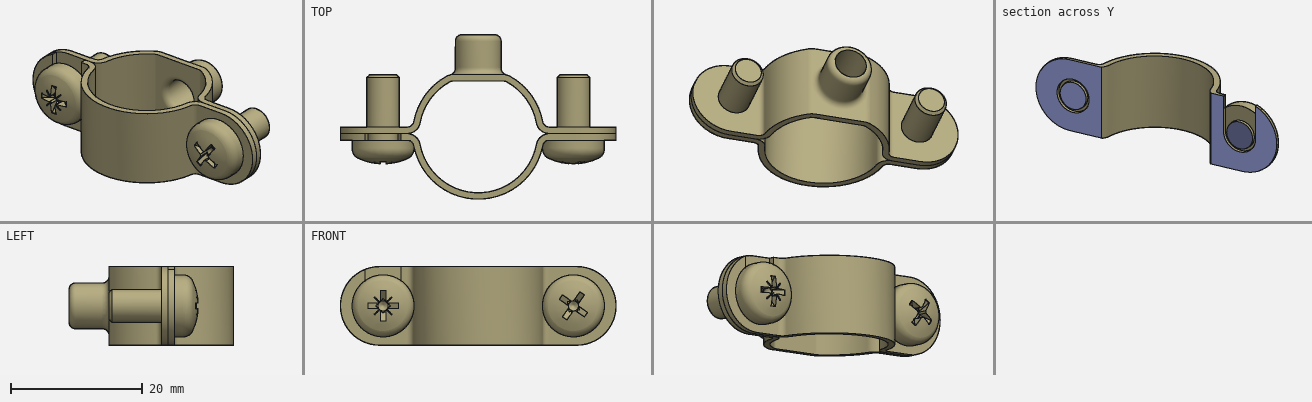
import cadquery as cq
import math

SHEET = 1.0
STRIP_HEIGHT = 12.0
TOTAL_LENGTH = 42.0
RING_OUTER_RADIUS = 10.0
RING_INNER_RADIUS = RING_OUTER_RADIUS - SHEET

EAR_BEND_RADIUS = SHEET
EAR_BEND_Y = SHEET + EAR_BEND_RADIUS
EAR_BEND_X = math.sqrt((RING_OUTER_RADIUS + EAR_BEND_RADIUS) ** 2 - EAR_BEND_Y ** 2)
EAR_BEND_ANGLE = math.degrees(math.atan2(EAR_BEND_Y, EAR_BEND_X))

SEAT_OUTER_Y = 9.0
SEAT_INNER_Y = SEAT_OUTER_Y - SHEET
SEAT_BEND_INNER_RADIUS = SHEET
SEAT_BEND_OUTER_RADIUS = SEAT_BEND_INNER_RADIUS + SHEET
SEAT_BEND_Y = SEAT_INNER_Y - SEAT_BEND_INNER_RADIUS
SEAT_BEND_X = math.sqrt((RING_INNER_RADIUS - SEAT_BEND_INNER_RADIUS) ** 2 - SEAT_BEND_Y ** 2)
SEAT_BEND_ANGLE = math.degrees(math.atan2(SEAT_BEND_Y, SEAT_BEND_X))

BOSS_DIAMETER = 7.0
BOSS_BORE = 4.9
BOSS_END_Y = 15.08
BOSS_ROUND = SHEET

SCREW_X = 14.5
SHANK_DIAMETER = 5.0
NECK_DIAMETER = 4.58
SHANK_TIP_DIAMETER = 4.1
SHANK_CHAMFER = (SHANK_DIAMETER - SHANK_TIP_DIAMETER) / 2
SHANK_END_Y = 9.0
CLEARANCE_WIDTH = 5.5
HEAD_DIAMETER = 9.45
HEAD_HEIGHT = 3.6
HEAD_RIM = 1.3
DOME_DIAMETER = 7.73
DOME_HEIGHT = 0.9
HEAD_SEAT_Y = -SHEET
HEAD_TOP_Y = HEAD_SEAT_Y - HEAD_HEIGHT

CROSS_LENGTH = 4.65
CROSS_FLOOR_LENGTH = 1.85
CROSS_WIDTH = 0.85
CROSS_END_DEPTH = 0.45
CROSS_DEPTH = 1.7
CROSS_CORE_WIDTH = 1.55
CROSS_POINT_DEPTH = 2.2
TICK_LENGTH = 3.7
TICK_WIDTH = 0.13
TICK_DEPTH = 0.38
LEFT_CROSS_TURN = 0
RIGHT_CROSS_TURN = 55


def polar(center, radius, angle):
    """Point at a radius and an angle in degrees around a center."""
    turn = math.radians(angle)
    return (center[0] + radius * math.cos(turn), center[1] + radius * math.sin(turn))


def extrude_strip(half_outline):
    """Extrude the +X half of a strip outline over the strip height and mirror it to -X."""
    half = half_outline.close().extrude(STRIP_HEIGHT / 2, both=True)
    return half.union(half.mirror("YZ")).clean()


def trace_ear(outline):
    """Continue an outline from the ring's outer face around the ear to the ring's inner face."""
    bend = (EAR_BEND_X, EAR_BEND_Y)
    middle = 225 + EAR_BEND_ANGLE / 2
    inner_radius = EAR_BEND_RADIUS
    outer_radius = EAR_BEND_RADIUS + SHEET
    ear_end = TOTAL_LENGTH / 2
    return (
        outline.threePointArc(polar(bend, inner_radius, middle), (EAR_BEND_X, SHEET))
        .lineTo(ear_end, SHEET)
        .lineTo(ear_end, 0)
        .lineTo(EAR_BEND_X, 0)
        .threePointArc(
            polar(bend, outer_radius, middle),
            polar((0, 0), RING_INNER_RADIUS, EAR_BEND_ANGLE),
        )
    )


def make_round_strip():
    """Half ring with two ears, bulging toward +Y."""
    middle = (90 + EAR_BEND_ANGLE) / 2
    center = (0, 0)
    outline = cq.Workplane("XY").moveTo(0, RING_OUTER_RADIUS)
    outline = outline.threePointArc(
        polar(center, RING_OUTER_RADIUS, middle),
        polar(center, RING_OUTER_RADIUS, EAR_BEND_ANGLE),
    )
    outline = trace_ear(outline).threePointArc(
        polar(center, RING_INNER_RADIUS, middle), (0, RING_INNER_RADIUS)
    )
    return extrude_strip(outline)


def make_seat_strip():
    """Half ring with two ears and a flat seat, bulging toward +Y."""
    center = (0, 0)
    bend = (SEAT_BEND_X, SEAT_BEND_Y)
    ring_middle = (SEAT_BEND_ANGLE + EAR_BEND_ANGLE) / 2
    bend_middle = (90 + SEAT_BEND_ANGLE) / 2
    outline = cq.Workplane("XY").moveTo(0, SEAT_OUTER_Y).lineTo(SEAT_BEND_X, SEAT_OUTER_Y)
    outline = outline.threePointArc(
        polar(bend, SEAT_BEND_OUTER_RADIUS, bend_middle),
        polar(bend, SEAT_BEND_OUTER_RADIUS, SEAT_BEND_ANGLE),
    )
    outline = outline.threePointArc(
        polar(center, RING_OUTER_RADIUS, ring_middle),
        polar(center, RING_OUTER_RADIUS, EAR_BEND_ANGLE),
    )
    outline = trace_ear(outline)
    outline = outline.threePointArc(
        polar(center, RING_INNER_RADIUS, ring_middle),
        polar(center, RING_INNER_RADIUS, SEAT_BEND_ANGLE),
    )
    outline = outline.threePointArc(
        polar(bend, SEAT_BEND_INNER_RADIUS, bend_middle), (SEAT_BEND_X, SEAT_INNER_Y)
    )
    outline = outline.lineTo(0, SEAT_INNER_Y)
    return extrude_strip(outline)


def round_ear_ends(strip):
    """Trim both ears to full half-round ends."""
    envelope = (
        cq.Workplane("XZ")
        .slot2D(TOTAL_LENGTH, STRIP_HEIGHT)
        .extrude(2 * RING_OUTER_RADIUS, both=True)
    )
    return strip.intersect(envelope)


def cylinder_y(diameter, start_y, end_y, x=0):
    """Cylinder along Y between two Y positions."""
    return (
        cq.Workplane("XZ", origin=(x, start_y, 0))
        .circle(diameter / 2)
        .extrude(start_y - end_y)
    )


def round_seat_circle(body, diameter, y):
    """Round the circular edge around the boss axis that lies in a face of the flat seat."""
    reach = diameter / 2 + SHEET / 4
    margin = SHEET / 4
    zone = cq.selectors.BoxSelector((-reach, y - margin, -reach), (reach, y + margin, reach))
    return body.edges("%CIRCLE").edges(zone).fillet(BOSS_ROUND)


def add_boss(strip):
    """Add the hollow boss with its rounded tip, rounded root and rounded bore mouth."""
    boss = cylinder_y(BOSS_DIAMETER, SEAT_OUTER_Y, BOSS_END_Y)
    boss = boss.faces(">Y").edges().fillet(BOSS_ROUND)
    body = round_seat_circle(strip.union(boss), BOSS_DIAMETER, SEAT_OUTER_Y)
    body = body.cut(cylinder_y(BOSS_BORE, 0, BOSS_END_Y))
    return round_seat_circle(body, BOSS_BORE, SEAT_INNER_Y)


def make_screw_blank():
    """Screw without its recess, with its axis along Y through the origin."""
    rim_radius = HEAD_DIAMETER / 2
    dome_radius = DOME_DIAMETER / 2
    rim_y = HEAD_SEAT_Y - HEAD_RIM
    dome_y = HEAD_TOP_Y + DOME_HEIGHT
    sphere_radius = (dome_radius ** 2 + DOME_HEIGHT ** 2) / (2 * DOME_HEIGHT)
    sphere_center = (0, HEAD_TOP_Y + sphere_radius)
    half_dome_angle = math.degrees(math.asin(dome_radius / sphere_radius)) / 2
    return (
        cq.Workplane("XY")
        .moveTo(0, SHANK_END_Y)
        .lineTo(SHANK_TIP_DIAMETER / 2, SHANK_END_Y)
        .lineTo(SHANK_DIAMETER / 2, SHANK_END_Y - SHANK_CHAMFER)
        .lineTo(SHANK_DIAMETER / 2, 0)
        .lineTo(NECK_DIAMETER / 2, 0)
        .lineTo(NECK_DIAMETER / 2, HEAD_SEAT_Y)
        .lineTo(rim_radius, HEAD_SEAT_Y)
        .lineTo(rim_radius, rim_y)
        .tangentArcPoint((dome_radius, dome_y), relative=False)
        .threePointArc(polar(sphere_center, sphere_radius, half_dome_angle - 90), (0, HEAD_TOP_Y))
        .close()
        .revolve(360, (0, 0, 0), (0, 1, 0))
    )


def make_cross():
    """Cross recess: two tapered wings and a square core with a conical bottom, open toward -Y."""
    wing = (
        cq.Workplane("XY")
        .polyline([
            (-CROSS_LENGTH / 2, HEAD_TOP_Y),
            (CROSS_LENGTH / 2, HEAD_TOP_Y),
            (CROSS_LENGTH / 2, HEAD_TOP_Y + CROSS_END_DEPTH),
            (CROSS_FLOOR_LENGTH / 2, HEAD_TOP_Y + CROSS_DEPTH),
            (-CROSS_FLOOR_LENGTH / 2, HEAD_TOP_Y + CROSS_DEPTH),
            (-CROSS_LENGTH / 2, HEAD_TOP_Y + CROSS_END_DEPTH),
        ])
        .close()
        .extrude(CROSS_WIDTH / 2, both=True)
    )
    floor_y = HEAD_TOP_Y + CROSS_DEPTH
    core = cq.Workplane("XY").box(CROSS_CORE_WIDTH, 2 * CROSS_DEPTH, CROSS_CORE_WIDTH)
    core = turn_about_y(core.translate((0, HEAD_TOP_Y, 0)), 45)
    point = (
        cq.Workplane("XY")
        .polyline([(0, floor_y), (CROSS_CORE_WIDTH / 2, floor_y), (0, HEAD_TOP_Y + CROSS_POINT_DEPTH)])
        .close()
        .revolve(360, (0, 0, 0), (0, 1, 0))
    )
    return wing.union(turn_about_y(wing, 90)).union(core).union(point)


def turn_about_y(body, angle):
    """Turn a body about the Y axis, counterclockwise as seen from -Y."""
    return body.rotate((0, 0, 0), (0, 1, 0), -angle)


def make_ticks():
    """Two thin diagonal marks between the wings of the cross."""
    tick = cq.Workplane("XY").box(TICK_LENGTH, 2 * TICK_DEPTH, TICK_WIDTH)
    tick = tick.translate((0, HEAD_TOP_Y, 0))
    return turn_about_y(tick, 45).union(turn_about_y(tick, -45))


def make_screw(x, cross_turn, has_ticks):
    """One pan-head screw at a given X."""
    recess = make_cross()
    if has_ticks:
        recess = recess.union(make_ticks())
    screw = make_screw_blank().cut(turn_about_y(recess, cross_turn))
    return screw.translate((x, 0, 0))


def make_front_half(screws):
    """Half ring with an open slot on its -X ear and a clearance hole on its +X ear."""
    body = round_ear_ends(make_round_strip().mirror("XZ"))
    slot_top = STRIP_HEIGHT / 2
    for x in (-SCREW_X, SCREW_X):
        body = body.cut(cylinder_y(CLEARANCE_WIDTH, HEAD_SEAT_Y, 0, x))
    slot = cq.Workplane("XY").box(CLEARANCE_WIDTH, SHEET, slot_top, centered=(True, False, False))
    body = body.cut(slot.translate((-SCREW_X, HEAD_SEAT_Y, 0)))
    for screw in screws:
        body = body.cut(screw)
    return body


def make_back_half():
    """Half ring with a hollow boss and two holes that fit the screw shanks."""
    body = round_ear_ends(add_boss(make_seat_strip()))
    for x in (-SCREW_X, SCREW_X):
        body = body.cut(cylinder_y(SHANK_DIAMETER, 0, SHEET, x))
    return body


screws = []
for screw_x, turn, ticks in (
    (-SCREW_X, LEFT_CROSS_TURN, True),
    (SCREW_X, RIGHT_CROSS_TURN, False),
):
    screws.append(make_screw(screw_x, turn, ticks))

front_half = make_front_half(screws)
back_half = make_back_half()

result = cq.Compound.makeCompound([
    front_half.val(),
    back_half.val(),
    *[screw.val() for screw in screws],
])